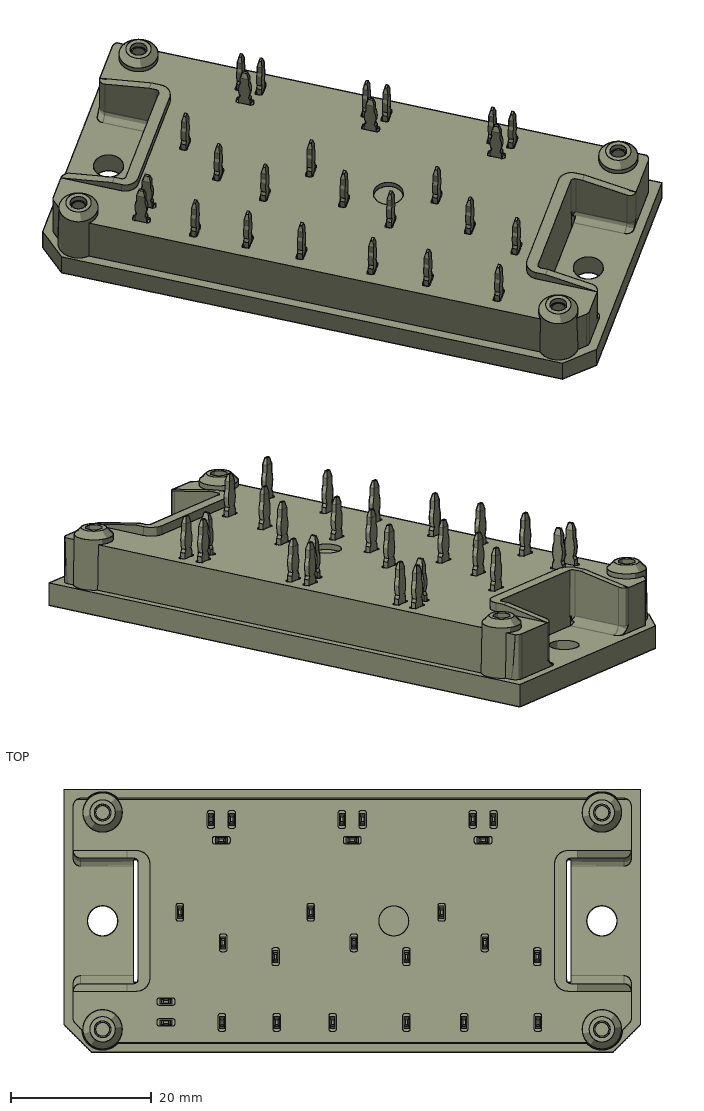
import cadquery as cq
import math

base_length = 82.0
base_width = 37.4
base_corner_cut = 3.9
pad_length = 57.2
pad_width = 33.1
pad_height = 0.25
base_top = 3.6

housing_length = 79.4
housing_foot_width = 34.9
housing_top_width = 34.5
housing_top = 10.3
housing_corner_cut = 3.2
housing_corner_radius = 1.15
housing_cut_radius = 0.8

pocket_width = 17.9
pocket_depth = 9.2
pocket_inner_radius = 0.6
mouth_radius = 1.1
foot_radius = 1.15
slit_length = 17.4
slit_width = 0.6

rim_width = 1.1
rim_depth = 1.7
rim_outer_radius = 1.9
rim_top = 11.65
rim_slope_start = 1.55

hole_spacing = 71.0
mount_hole_diameter = 4.3
recess_x = 5.9
recess_diameter = mount_hole_diameter
recess_depth = 0.8

boss_y = 15.4
boss_foot_radius = 2.95
boss_shoulder_radius = 2.8
boss_top_radius = 1.8
boss_shoulder = 11.1
boss_top = 12.05
screw_entry_diameter = 2.4
screw_entry_depth = 0.8
screw_core_diameter = 2.0
screw_core_depth = 4.9

pin_top = 16.4
pin_thickness = 0.7
pin_tip_thickness = 0.3
pin_slot_length = 2.55
pin_slot_width = 1.1
pin_slot_radius = 0.3
pin_slot_depth = 0.4
pin_foot_width = 1.7
pin_neck_width = 1.2
pin_tip_width = 0.65
pin_foot_height = 0.7
pin_neck_height = 1.2
pin_bulge_height = 2.6
pin_shank_height = 3.9
pin_tip_height = 5.1

phase_pitch = 18.6
pair_half_gap = 1.5
outer_row_y = 14.4
inner_row_y = 11.5
side_pin_x = -26.5
lower_row_x = (-18.5, -10.75, -2.8, 7.7, 15.9, 26.4)
phase_pins = (
    (-pair_half_gap, outer_row_y, True),
    (pair_half_gap, outer_row_y, True),
    (0.0, inner_row_y, False),
    (-5.9, 1.2, True),
    (0.25, -3.1, True),
    (7.7, -5.1, True),
)

half_housing = housing_length / 2
pocket_end = half_housing - pocket_depth
flare_x = -half_housing + mouth_radius
outside_x = -base_length / 2 - foot_radius


def both_ends(left_shape):
    """Join a shape at the -X end with its mirror image at the +X end."""
    return left_shape.union(left_shape.mirror("YZ"))


def slab(length, width, bottom, top):
    return cq.Workplane("XY", origin=(0, 0, bottom)).rect(length, width).extrude(top - bottom)


def make_base():
    plate = slab(base_length, base_width, pad_height, base_top)
    plate = plate.edges("|Z and <Y").chamfer(base_corner_cut)
    return plate.union(slab(pad_length, pad_width, 0, base_top))


def flared_prism(half_width):
    """Prism open toward -X, up to the pocket end wall, whose mouth rounds outward at the housing end."""
    flare_half_width = half_width + mouth_radius
    diagonal = mouth_radius * math.sqrt(0.5)
    return (
        cq.Workplane("XY", origin=(0, 0, base_top))
        .moveTo(-pocket_end, -half_width)
        .lineTo(flare_x, -half_width)
        .threePointArc((flare_x - diagonal, -flare_half_width + diagonal), (-half_housing, -flare_half_width))
        .lineTo(outside_x, -flare_half_width)
        .lineTo(outside_x, flare_half_width)
        .lineTo(-half_housing, flare_half_width)
        .threePointArc((flare_x - diagonal, flare_half_width - diagonal), (flare_x, half_width))
        .lineTo(-pocket_end, half_width)
        .close()
        .extrude(rim_top)
    )


def make_pocket_cutter():
    """Pocket at the -X end, rounded along its floor so that the side walls keep a foot."""
    half_width = pocket_width / 2
    side_edges = cq.selectors.BoxSelector(
        (flare_x, -half_width - mouth_radius, base_top - foot_radius / 2),
        (-pocket_end - foot_radius, half_width + mouth_radius, base_top + foot_radius / 2),
    )
    footed = flared_prism(half_width).faces("<Z").edges(side_edges).fillet(foot_radius)
    foot_trim = flared_prism(half_width - foot_radius)
    return footed.intersect(make_pocket_envelope()).union(foot_trim)


def make_pocket_envelope():
    """Plan of the -X pocket with rounded inner corners and room for its flared mouth."""
    top = base_top + rim_top
    floor = slab(-pocket_end - outside_x, pocket_width, base_top, top)
    floor = floor.translate(((outside_x - pocket_end) / 2, 0, 0))
    floor = floor.edges("|Z and >X").fillet(pocket_inner_radius)
    mouth = slab(flare_x - outside_x, pocket_width + 2 * mouth_radius, base_top, top)
    return floor.union(mouth.translate(((flare_x + outside_x) / 2, 0, 0)))


def make_housing():
    """Block whose long sides lean in slightly toward the top."""
    block = slab(housing_length, housing_foot_width, base_top, housing_top)
    block = block.edges("|Z and <Y").chamfer(housing_corner_cut)
    block = block.edges("|Z and >Y").fillet(housing_corner_radius)
    block = block.edges("|Z and (<X or >X)").edges("<Y").fillet(housing_cut_radius)
    drafted = (
        cq.Workplane("YZ", origin=(-half_housing, 0, 0))
        .polyline([
            (-housing_foot_width / 2, base_top),
            (housing_foot_width / 2, base_top),
            (housing_top_width / 2, housing_top),
            (-housing_top_width / 2, housing_top),
        ])
        .close()
        .extrude(housing_length)
    )
    return block.intersect(drafted)


def make_rim():
    """Rim around the -X pocket; its arms slope down to the housing top at the outer end."""
    length = pocket_depth + rim_depth
    blank = slab(length, pocket_width + 2 * rim_width, base_top, rim_top)
    blank = blank.translate((length / 2 - half_housing, 0, 0))
    blank = blank.edges("|Z and >X").fillet(rim_outer_radius)
    above_slope = (
        cq.Workplane("XZ", origin=(0, base_width / 2, 0))
        .polyline([
            (-half_housing, housing_top),
            (-pocket_end - rim_slope_start, rim_top),
            (-half_housing, rim_top),
        ])
        .close()
        .extrude(base_width)
    )
    return blank.cut(above_slope)


def make_slit():
    """Narrow through slot in the base plate along the end wall of the -X pocket."""
    return (
        slab(slit_width, slit_length, 0, base_top + foot_radius)
        .translate((-pocket_end - slit_width / 2, 0, 0))
    )


def make_boss():
    return (
        cq.Workplane("XZ")
        .polyline([
            (0, base_top),
            (boss_foot_radius, base_top),
            (boss_shoulder_radius, boss_shoulder),
            (boss_top_radius, boss_top),
            (0, boss_top),
        ])
        .close()
        .revolve(360, (0, 0, 0), (0, 1, 0))
    )


def make_pin():
    """Flat press-fit pin at the origin, standing on the housing, with its long side along X."""
    height = pin_top - housing_top
    foot_x = pin_foot_width / 2
    neck_x = pin_neck_width / 2
    tip_x = pin_tip_width / 2
    face = (
        cq.Workplane("XZ", origin=(0, pin_thickness / 2, 0))
        .moveTo(-foot_x, -pin_slot_depth)
        .lineTo(foot_x, -pin_slot_depth)
        .lineTo(foot_x, pin_foot_height)
        .lineTo(neck_x, pin_neck_height)
        .threePointArc((foot_x, pin_bulge_height), (neck_x, pin_shank_height))
        .lineTo(neck_x, pin_tip_height)
        .lineTo(tip_x, height)
        .lineTo(-tip_x, height)
        .lineTo(-neck_x, pin_tip_height)
        .lineTo(-neck_x, pin_shank_height)
        .threePointArc((-foot_x, pin_bulge_height), (-neck_x, pin_neck_height))
        .lineTo(-foot_x, pin_foot_height)
        .close()
        .extrude(pin_thickness)
    )
    edge = (
        cq.Workplane("YZ", origin=(-pin_foot_width, 0, 0))
        .polyline([
            (-pin_thickness / 2, -pin_slot_depth),
            (pin_thickness / 2, -pin_slot_depth),
            (pin_thickness / 2, pin_tip_height),
            (pin_tip_thickness / 2, height),
            (-pin_tip_thickness / 2, height),
            (-pin_thickness / 2, pin_tip_height),
        ])
        .close()
        .extrude(2 * pin_foot_width)
    )
    return face.intersect(edge).translate((0, 0, housing_top))


def make_pin_slot():
    """Shallow clearance slot around the foot of a pin at the origin, long side along X."""
    slot = slab(pin_slot_length, pin_slot_width, housing_top - pin_slot_depth, housing_top)
    return slot.edges("|Z").fillet(pin_slot_radius)


def pin_places():
    """List (x, y, long side along Y) for every contact pin."""
    places = [
        (phase * phase_pitch + offset, y, along_y)
        for phase in (-1, 0, 1)
        for offset, y, along_y in phase_pins
    ]
    places += [(x, -outer_row_y, True) for x in lower_row_x]
    places += [(side_pin_x, y, False) for y in (-outer_row_y, -inner_row_y)]
    return places


body = make_housing().union(both_ends(make_rim()))
body = body.cut(both_ends(make_pocket_cutter()))
result = make_base().union(body).cut(both_ends(make_slit()))

boss_places = [(x, y) for x in (-hole_spacing / 2, hole_spacing / 2) for y in (-boss_y, boss_y)]
boss = make_boss()
for x, y in boss_places:
    result = result.union(boss.translate((x, y, 0)))

top_plane = cq.Workplane("XY", origin=(0, 0, boss_top))
screw_entries = top_plane.pushPoints(boss_places).circle(screw_entry_diameter / 2).extrude(-screw_entry_depth)
screw_cores = top_plane.pushPoints(boss_places).circle(screw_core_diameter / 2).extrude(-screw_core_depth)
mount_holes = (
    cq.Workplane("XY")
    .pushPoints([(-hole_spacing / 2, 0), (hole_spacing / 2, 0)])
    .circle(mount_hole_diameter / 2)
    .extrude(base_top)
)
recess = (
    cq.Workplane("XY", origin=(recess_x, 0, housing_top))
    .circle(recess_diameter / 2)
    .extrude(-recess_depth)
)
result = result.cut(screw_entries).cut(screw_cores).cut(mount_holes).cut(recess)

pin = make_pin()
pin_slot = make_pin_slot()
for x, y, along_y in pin_places():
    turn = 90 if along_y else 0
    placed_slot = pin_slot.rotate((0, 0, 0), (0, 0, 1), turn).translate((x, y, 0))
    placed_pin = pin.rotate((0, 0, 0), (0, 0, 1), turn).translate((x, y, 0))
    result = result.cut(placed_slot).union(placed_pin)

result = cq.Workplane("XY").newObject([result.solids().val()])